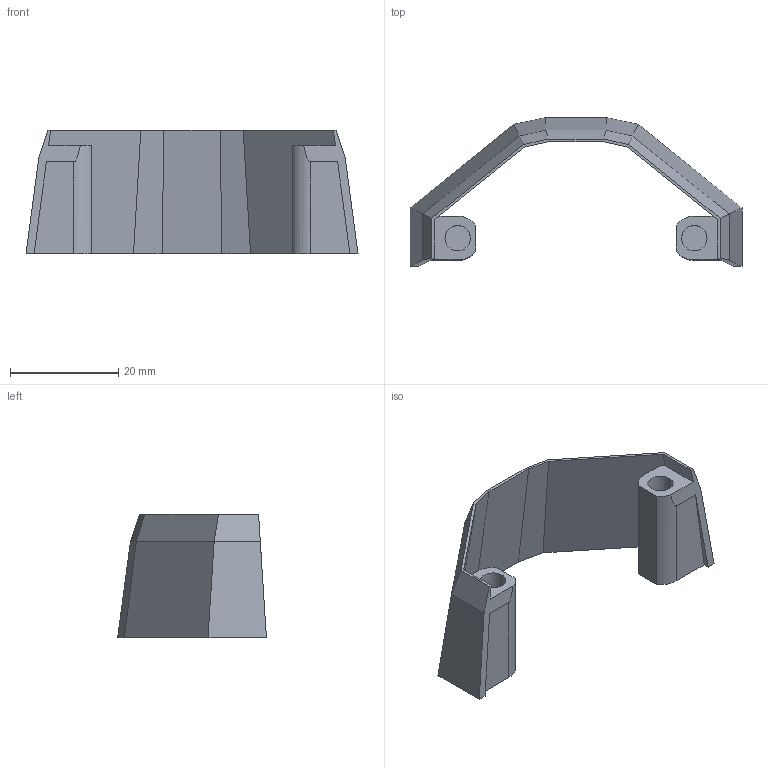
import cadquery as cq
import math

width = 61.38
depth = 27.51
height = 22.8

half_width = width / 2
arm_corner_y = 10.8
shoulder_x = 11.48
shoulder_y = 26.25
back_half_width = 5.69

bend_z = 17.8
bend_inset = 2.38
top_inset = 4.05

bottom_thickness = 1.5
top_thickness = 0.5

front_setback_at_top = 1.45

boss_x = 21.88
boss_y = 5.18
boss_radius = 4.1
boss_flat_x = 18.55
boss_top_z = 20.0
hole_diameter = 4.7
hole_depth = 10.0

outer_overrun = 10.0
inner_overrun = 20.0


def band_outline(z, inset, overrun):
    """Outer outline at height z, moved inward by inset and run past the front by overrun."""
    right_half = [
        (half_width, -overrun),
        (half_width, arm_corner_y),
        (shoulder_x, shoulder_y),
        (back_half_width, depth),
    ]
    left_half = [(-x, y) for x, y in reversed(right_half)]
    outline = cq.Workplane("XY").workplane(offset=z).polyline(right_half + left_half).close()
    return outline.offset2D(-inset, "intersection").val()


def drafted_body(overrun, levels):
    """Solid with flat drafted sides through outlines given as (z, inset) pairs."""
    body = None
    for (low_z, low_inset), (high_z, high_inset) in zip(levels, levels[1:]):
        low = band_outline(low_z, low_inset, overrun)
        high = band_outline(high_z, high_inset, overrun)
        stage = cq.Workplane(cq.Solid.makeLoft([low, high], True))
        body = stage if body is None else body.union(stage)
    return body


def boss(side):
    """Upright D-shaped boss reaching outward into the arm; side is +1 or -1."""
    flat_half_length = math.sqrt(boss_radius**2 - (boss_x - boss_flat_x) ** 2)
    back_y = boss_y + boss_radius
    front_y = boss_y - boss_radius
    flat_back_y = boss_y + flat_half_length
    flat_front_y = boss_y - flat_half_length
    flat_end_angle = math.asin(flat_half_length / boss_radius)
    arc_mid_angle = (flat_end_angle + math.pi / 2) / 2
    arc_mid_x = boss_x - boss_radius * math.cos(arc_mid_angle)
    arc_mid_y = boss_radius * math.sin(arc_mid_angle)
    return (
        cq.Workplane("XY")
        .moveTo(side * half_width, front_y)
        .lineTo(side * boss_x, front_y)
        .threePointArc((side * arc_mid_x, boss_y - arc_mid_y), (side * boss_flat_x, flat_front_y))
        .lineTo(side * boss_flat_x, flat_back_y)
        .threePointArc((side * arc_mid_x, boss_y + arc_mid_y), (side * boss_x, back_y))
        .lineTo(side * half_width, back_y)
        .close()
        .extrude(boss_top_z)
    )


def boss_hole(side):
    """Blind hole sunk from the top of a boss."""
    return (
        cq.Workplane("XY")
        .workplane(offset=boss_top_z - hole_depth)
        .center(side * boss_x, boss_y)
        .circle(hole_diameter / 2)
        .extrude(hole_depth)
    )


def behind_front_plane():
    """Block holding everything behind the leaning front plane."""
    return (
        cq.Workplane("YZ")
        .polyline([(0, 0), (depth, 0), (depth, height), (front_setback_at_top, height)])
        .close()
        .extrude(half_width, both=True)
    )


outer = drafted_body(outer_overrun, [(0, 0), (bend_z, bend_inset), (height, top_inset)])
cavity = drafted_body(inner_overrun, [(0, bottom_thickness), (height, top_inset + top_thickness)])

result = outer.cut(cavity)
for side in (-1, 1):
    result = result.union(boss(side).intersect(outer))
    result = result.cut(boss_hole(side))
result = result.intersect(behind_front_plane())